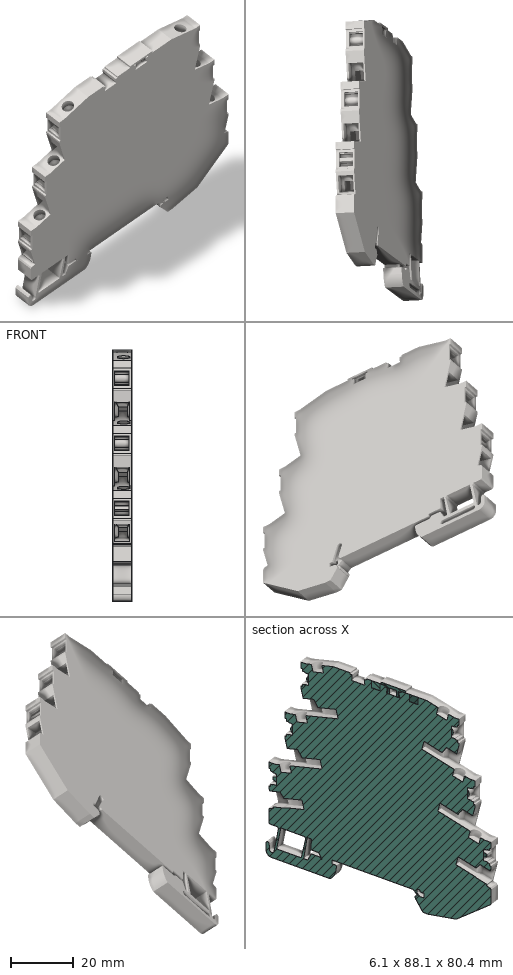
import cadquery as cq
import math

width = 6.1
face_x = -width / 2
top_z = 79.65
top_half_y = 18.3
incline = math.radians(14)

tier_count = 3
tier_half_y = [31.0, 37.3, 43.5]
tier_z = [77.0, 56.2, 35.4]
corner_z = [57.8, 36.9, 18.6]
lip_height = 2.5
recess_bottom = 8.9
recess_depth = 0.6
lower_lip_height = 0.7
sides = (1, -1)

base_z = 7.2
wing_y = tier_half_y[-1]
wing_bottom_z = 12.25
wing_bevel_y = 0.35
wing_bevel_z = 0.5

window_x = (-2.55, 2.1)
window_top = 3.35
window_height = 4.7
window_depth = 2.4
window_step_depth = 1.1
window_step_height = 0.3
bar_middle = window_top + window_height / 2
round_bar_height = 2.55
round_bar_rise = 0.7
stop_bar_height = 1.9
stop_bar_rise = 1.4
stop_bar_top_bevel = 0.3
stop_bar_front_height = 1.1

entry_x = (-2.55, 2.4)
entry_height = [6.0, 6.0, 5.5]
entry_depth = 4.2
throat_x = (-1.2, 1.7)
throat_height = 3.2
throat_floor_lift = [0, 0, 0.2]
throat_depth = 7.2
taper_depth = 1.1
entry_floor_lift = [0, 0, 0.6]

screw_x = 0.4
screw_diameter = 4.05
screw_depth = 2.6
screw_inset = 6.25

notch_half_mouth = 3.1
notch_half_neck = 2.3
notch_half_floor = 2.55
notch_shoulder_z = top_z - 0.5
notch_undercut_z = top_z - 1.8
notch_floor_z = top_z - 2.6
marker_y = 5.1
marker_length = 9.8
marker_top_z = 80.4
marker_inset = 0.9
marker_leg_outer = 2.1
marker_leg_inner = 1.2
spare_notch_y = -8.5

light_y = (13.2, -1.7)
light_diameter = 3.3
light_depth = 2.6

hook_top_z = 5.6
hook_notch_z = 7.9
latch_gap_z = 8.2
leg_flare_z = 11.7
tab_root_z = 3.0
latch_ledge_z = 4.05
latch_jaw_z = 6.0
web_recess = 1.15
groove_width = 2.0
groove_start = (15.0, 7.3)
groove_end = (13.2, 12.4)
latch_slot_y = (-40.7, -27.05)
latch_slot_z = (1.2, 2.8)


def plate(points, x_start=face_x, x_end=width / 2):
    """Closed polygon of (y, z) points, extruded between two X positions."""
    return cq.Workplane("YZ", origin=(x_start, 0, 0)).polyline(points).close().extrude(x_end - x_start)


def overhang_corner(tier):
    """Inner (y, z) corner where a tier's overhang meets the step below."""
    start_z = tier_z[tier] - recess_bottom - lower_lip_height
    return tier_half_y[tier] - (start_z - corner_z[tier]) * math.tan(incline), corner_z[tier]


def side_outline():
    """Stepped +Y edge of the housing, from the top face down to the bevelled wing shoulder."""
    points = [(top_half_y, top_z)]
    for tier in range(tier_count):
        outer_y = tier_half_y[tier]
        upper_y, upper_z = points[-1]
        flat_start_y = upper_y + (upper_z - tier_z[tier]) / math.tan(incline)
        recess_y = outer_y - recess_depth
        points += [
            (flat_start_y, tier_z[tier]),
            (outer_y, tier_z[tier]),
            (outer_y, tier_z[tier] - lip_height),
            (recess_y, tier_z[tier] - lip_height),
            (recess_y, tier_z[tier] - recess_bottom),
            (outer_y, tier_z[tier] - recess_bottom),
            (outer_y, tier_z[tier] - recess_bottom - lower_lip_height),
            overhang_corner(tier),
        ]
    inner_y, inner_z = points[-1]
    shoulder_y = wing_y - wing_bevel_y
    shoulder_z = inner_z - (shoulder_y - inner_y) * math.tan(incline)
    points.append((shoulder_y, shoulder_z))
    points.append((wing_y, shoulder_z - wing_bevel_z))
    return points


def body_slab():
    """Housing slab with the fixed rail hook on the +Y side."""
    plus_edge = side_outline()
    minus_edge = [(-y, z) for y, z in reversed(plus_edge)]
    latch_side_corner = [(wing_bevel_y - wing_y, wing_bottom_z), (-wing_y, wing_bottom_z + wing_bevel_z)]
    outline = cq.Workplane("YZ", origin=(face_x, 0, 0))
    outline = outline.polyline(latch_side_corner + minus_edge + plus_edge)
    outline = outline.lineTo(wing_y, wing_bottom_z).lineTo(29.8, 1.9).lineTo(18.85, 0)
    outline = outline.lineTo(16.7, 0).lineTo(14.0, 3.9)
    outline = outline.threePointArc((14.5, 5.2), (15.7, hook_top_z))
    outline = outline.lineTo(17.1, hook_top_z).lineTo(17.1, base_z).lineTo(15.6, base_z)
    outline = outline.lineTo(15.6, hook_notch_z).lineTo(13.4, hook_notch_z).lineTo(12.95, base_z)
    outline = outline.lineTo(-22.2, base_z).lineTo(-22.2, latch_gap_z).lineTo(-27.05, latch_gap_z)
    return outline.lineTo(-26.9, wing_bottom_z).close().extrude(width)


def rail_latch():
    """Latch foot with its curled release tab on the -Y side."""
    foot = (
        cq.Workplane("YZ", origin=(face_x, 0, 0))
        .moveTo(-16.8, 5.8)
        .lineTo(-17.2, 3.7)
        .threePointArc((-18.1, 1.5), (-19.5, 0))
        .lineTo(-42.5, 0)
        .threePointArc((-44.0, 0.7), (-44.6, 2.3))
        .lineTo(-44.6, 5.0)
        .lineTo(-44.05, 5.55)
        .lineTo(-43.5, 5.55)
        .lineTo(-43.2, 4.85)
        .lineTo(-43.1, tab_root_z)
        .threePointArc((-42.4, 2.0), (-41.4, tab_root_z))
        .lineTo(-40.3, latch_ledge_z)
        .lineTo(-28.3, latch_ledge_z)
        .lineTo(-26.9, 6.9)
        .lineTo(-23.5, 6.9)
        .lineTo(-22.6, latch_jaw_z)
        .lineTo(-17.3, latch_jaw_z)
        .close()
        .extrude(width)
    )
    inner_leg = [
        (-28.4, wing_bottom_z),
        (-29.7, latch_ledge_z),
        (-30.8, latch_ledge_z),
        (-29.1, leg_flare_z),
        (-29.5, wing_bottom_z),
    ]
    outer_leg = [
        (-38.7, wing_bottom_z),
        (-40.3, latch_ledge_z),
        (-41.4, tab_root_z),
        (-39.7, leg_flare_z),
        (-40.2, wing_bottom_z),
    ]
    return foot.union(plate(inner_leg)).union(plate(outer_leg))


def webs():
    """Thin webs, recessed from the -X face, that tie the latch and the hook to the slab."""
    latch_web = [
        (-18.6, base_z),
        (-18.6, latch_jaw_z),
        (-22.6, latch_jaw_z),
        (-24.05, latch_gap_z),
        (-22.2, latch_gap_z),
        (-22.2, base_z),
    ]
    hook_web = [
        (14.5, hook_notch_z),
        (13.4, hook_notch_z),
        (12.95, base_z),
        (14.6, hook_top_z),
        (13.8, 5.3),
        (13.6, 4.8),
        (13.8, 4.05),
        (15.7, 4.05),
        (15.7, hook_top_z),
        (14.5, 6.5),
    ]
    inner_x = face_x + web_recess
    return plate(latch_web, inner_x).union(plate(hook_web, inner_x))


def side_grooves():
    """Slanted groove above the hook and long slot in the latch, both sunk into the -X face."""
    run_y = groove_end[0] - groove_start[0]
    run_z = groove_end[1] - groove_start[1]
    length = math.hypot(run_y, run_z)
    face = cq.Workplane("YZ", origin=(face_x, 0, 0))
    groove = (
        face.center((groove_start[0] + groove_end[0]) / 2, (groove_start[1] + groove_end[1]) / 2)
        .slot2D(length + groove_width, groove_width, math.degrees(math.atan2(run_z, run_y)))
        .extrude(web_recess)
    )
    slot = (
        face.center(sum(latch_slot_y) / 2, sum(latch_slot_z) / 2)
        .slot2D(latch_slot_y[1] - latch_slot_y[0], latch_slot_z[1] - latch_slot_z[0])
        .extrude(web_recess)
    )
    return groove.union(slot)


def top_notch(center_y):
    """Marker notch in the top face: wide mouth, narrow neck, undercut floor."""
    half = [
        (notch_half_mouth, top_z),
        (notch_half_mouth, notch_shoulder_z),
        (notch_half_neck, notch_shoulder_z),
        (notch_half_neck, notch_undercut_z),
        (notch_half_floor, notch_floor_z),
    ]
    mirrored = [(-y, z) for y, z in reversed(half)]
    return plate([(center_y + y, z) for y, z in half + mirrored])


def window(tier, side):
    """Blind square window in a tier's recessed face, with a narrow step at top and bottom."""
    face_y = tier_half_y[tier] - recess_depth
    step_y = face_y - window_step_depth
    back_y = face_y - window_depth
    top = tier_z[tier] - window_top
    bottom = top - window_height
    outline = [
        (face_y, top),
        (step_y, top),
        (step_y, top - window_step_height),
        (back_y, top - window_step_height),
        (back_y, bottom + window_step_height),
        (step_y, bottom + window_step_height),
        (step_y, bottom),
        (face_y, bottom),
    ]
    return plate([(side * y, z) for y, z in outline], *window_x)


def wire_entry(tier, side):
    """Rectangular pocket square to the overhang, tapering into a narrower throat."""
    corner_y, floor_z = overhang_corner(tier)
    lift = entry_floor_lift[tier]
    inward = cq.Vector(0, -side * math.cos(incline), math.sin(incline))
    origin = (0, side * (corner_y + lift * math.sin(incline)), floor_z + lift * math.cos(incline))
    plane = cq.Plane(origin=origin, xDir=(side, 0, 0), normal=inward)

    def section(depth, x_range, floor, height):
        """Rectangle at a depth below the overhang, standing on a floor level."""
        low, high = sorted(side * x for x in x_range)
        return (
            cq.Workplane(plane)
            .workplane(offset=depth)
            .center((low + high) / 2, floor + height / 2)
            .rect(high - low, height)
        )

    mouth_size = (entry_x, 0, entry_height[tier])
    throat_size = (throat_x, throat_floor_lift[tier], throat_height)
    throat_start = entry_depth + taper_depth
    pocket = section(0, *mouth_size).extrude(entry_depth)
    throat = section(throat_start, *throat_size).extrude(throat_depth)
    taper_wires = [
        section(entry_depth, *mouth_size).val(),
        section(throat_start, *throat_size).val(),
    ]
    taper = cq.Workplane(cq.Solid.makeLoft(taper_wires, True))
    return pocket.union(taper).union(throat)


def screw_hole(tier, side):
    """Blind round hole square to the sloped step of a tier."""
    center_y = tier_half_y[tier] - screw_inset
    upper_y, upper_z = (top_half_y, top_z) if tier == 0 else overhang_corner(tier - 1)
    center_z = upper_z - (center_y - upper_y) * math.tan(incline)
    outward = cq.Vector(0, side * math.sin(incline), math.cos(incline))
    start = cq.Vector(screw_x, side * center_y, center_z) - outward * screw_depth
    return cq.Workplane(cq.Solid.makeCylinder(screw_diameter / 2, 2 * screw_depth, start, outward))


def indicator_light(center_y):
    """Round light pipe, flush with the top face."""
    return cq.Workplane(origin=(0, center_y, top_z)).circle(light_diameter / 2).extrude(-light_depth)


def window_bar(tier, side):
    """Bar across the back of a window: half-round in the upper tiers, bevelled in the lowest."""
    back_y = tier_half_y[tier] - recess_depth - window_depth
    middle_z = tier_z[tier] - bar_middle
    outline = cq.Workplane("YZ", origin=(window_x[0], 0, 0))
    if tier < tier_count - 1:
        half = round_bar_height / 2
        outline = outline.moveTo(side * back_y, middle_z - half).threePointArc(
            (side * (back_y + round_bar_rise), middle_z), (side * back_y, middle_z + half)
        )
    else:
        half = stop_bar_height / 2
        front_y = back_y + stop_bar_rise
        front_top = middle_z + half - stop_bar_top_bevel
        outline = outline.polyline(
            [
                (side * back_y, middle_z - half),
                (side * front_y, front_top - stop_bar_front_height),
                (side * front_y, front_top),
                (side * back_y, middle_z + half),
            ]
        )
    return outline.close().extrude(window_x[1] - window_x[0])


def marker_plate():
    """Full-width marker plate on a narrower shoulder, with two hooked legs to the notch floor."""
    half_length = marker_length / 2
    stem_x = (face_x + marker_inset, width / 2 - marker_inset)
    marker = plate(
        [
            (marker_y - half_length, top_z),
            (marker_y - half_length, marker_top_z),
            (marker_y + half_length, marker_top_z),
            (marker_y + half_length, top_z),
        ]
    )
    shoulder = [
        (marker_y - notch_half_mouth, top_z),
        (marker_y + notch_half_mouth, top_z),
        (marker_y + notch_half_mouth, notch_shoulder_z),
        (marker_y - notch_half_mouth, notch_shoulder_z),
    ]
    marker = marker.union(plate(shoulder, *stem_x))
    for side in sides:
        leg = [
            (marker_leg_inner, notch_shoulder_z),
            (marker_leg_outer, notch_shoulder_z),
            (marker_leg_outer, notch_undercut_z),
            (notch_half_neck, notch_floor_z),
            (marker_leg_inner, notch_floor_z),
        ]
        marker = marker.union(plate([(marker_y + side * y, z) for y, z in leg], *stem_x))
    return marker


lights = [indicator_light(y) for y in light_y]
bars = [window_bar(tier, side) for tier in range(tier_count) for side in sides]
marker = marker_plate()

housing = body_slab().union(rail_latch()).union(webs()).cut(side_grooves())
for notch_y in (marker_y, spare_notch_y):
    housing = housing.cut(top_notch(notch_y))
for tier in range(tier_count):
    for side in sides:
        housing = housing.cut(window(tier, side))
        housing = housing.cut(wire_entry(tier, side))
        housing = housing.cut(screw_hole(tier, side))
for light in lights:
    housing = housing.cut(light)

result = cq.Compound.makeCompound(
    [
        housing.solids().val(),
        marker.solids().val(),
        *[light.val() for light in lights],
        *[bar.val() for bar in bars],
    ]
)